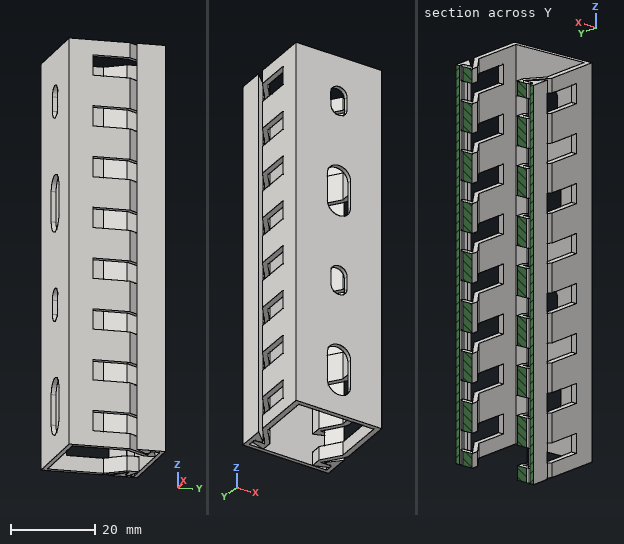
import cadquery as cq

WIDTH = 24.0
DEPTH = 23.8
LENGTH = 100.0
HALF_WIDTH = WIDTH / 2

COVER_THICKNESS = 1.1
COVER_SIDE_THICKNESS = 1.2
COVER_SKIRT = 7.1
LEDGE_DROP = 3.3
LEDGE_CHAMFER = 0.3
HOOK_BLUNT_REACH = 0.4
HOOK_BLUNT_INSET = 1.2
COVER_INSIDE = DEPTH - COVER_THICKNESS
LEDGE_LEVEL = DEPTH - LEDGE_DROP
HOOK_REACH = COVER_SKIRT - LEDGE_DROP

FLOOR_THICKNESS = 1.2
WALL_THICKNESS = 1.5
BEND_DROP = 8.8
LIP_INSET = 5.1
LIP_FACE_DROP = 4.0
BARB_TOP_DROP = 2.2
BARB_TIP_RADIUS = (LEDGE_DROP - BARB_TOP_DROP) / 2
BARB_ROOT_INSET = 4.1

WALL_SLOT_COUNT = 8
WALL_SLOT_PITCH = LENGTH / WALL_SLOT_COUNT
WALL_SLOT_WIDTH = 5.0
WALL_SLOT_BOTTOM = 5.9

MOUNT_SLOT_COUNT = 4
MOUNT_PITCH = LENGTH / MOUNT_SLOT_COUNT
LONG_SLOT_LENGTH = 14.0
LONG_SLOT_WIDTH = 6.5
SHORT_SLOT_LENGTH = 8.0
SHORT_SLOT_WIDTH = 4.5


def make_cover():
    side = -HALF_WIDTH
    inner_side = side + COVER_SIDE_THICKNESS
    tip_x = side + HOOK_REACH
    half = (
        cq.Workplane("XY")
        .moveTo(0, DEPTH)
        .lineTo(side, DEPTH)
        .lineTo(side, DEPTH - COVER_SKIRT)
        .lineTo(tip_x - HOOK_BLUNT_REACH, LEDGE_LEVEL - HOOK_BLUNT_REACH)
        .lineTo(tip_x - HOOK_BLUNT_INSET, LEDGE_LEVEL)
        .lineTo(inner_side + LEDGE_CHAMFER, LEDGE_LEVEL)
        .lineTo(inner_side, LEDGE_LEVEL + LEDGE_CHAMFER)
        .lineTo(inner_side, COVER_INSIDE)
        .lineTo(0, COVER_INSIDE)
    )
    return half.mirrorY().extrude(LENGTH)


def make_duct_channel():
    side = -HALF_WIDTH
    inner_side = side + WALL_THICKNESS
    lip_x = side + LIP_INSET
    barb_x = side + COVER_SIDE_THICKNESS
    barb_top = DEPTH - BARB_TOP_DROP
    half = (
        cq.Workplane("XY")
        .moveTo(0, FLOOR_THICKNESS)
        .lineTo(inner_side, FLOOR_THICKNESS)
        .lineTo(inner_side, DEPTH - BEND_DROP)
        .lineTo(lip_x, DEPTH - LIP_FACE_DROP)
        .lineTo(lip_x, COVER_INSIDE)
        .lineTo(barb_x + BARB_TIP_RADIUS, barb_top)
        .threePointArc(
            (barb_x, barb_top - BARB_TIP_RADIUS),
            (barb_x + BARB_TIP_RADIUS, LEDGE_LEVEL),
        )
        .lineTo(side + BARB_ROOT_INSET, LEDGE_LEVEL)
        .lineTo(side, DEPTH - BEND_DROP)
        .lineTo(side, 0)
        .lineTo(0, 0)
    )
    return half.mirrorY().extrude(LENGTH)


def make_wall_slots():
    """Cutters across both walls, open toward the cover."""
    first_center = WALL_SLOT_PITCH / 2
    centers = [(0, first_center + i * WALL_SLOT_PITCH) for i in range(WALL_SLOT_COUNT)]
    return (
        cq.Workplane("XZ", origin=(0, WALL_SLOT_BOTTOM, 0))
        .pushPoints(centers)
        .rect(WIDTH, WALL_SLOT_WIDTH)
        .extrude(-(DEPTH - WALL_SLOT_BOTTOM))
    )


def make_mounting_slots(first_center, length, width):
    """Cutters for two lengthwise slots through the floor, two mounting pitches apart."""
    centers = [(0, first_center), (0, first_center + 2 * MOUNT_PITCH)]
    return (
        cq.Workplane("XZ")
        .pushPoints(centers)
        .slot2D(length, width, 90)
        .extrude(-FLOOR_THICKNESS)
    )


def make_duct():
    long_slots = make_mounting_slots(MOUNT_PITCH / 2, LONG_SLOT_LENGTH, LONG_SLOT_WIDTH)
    short_slots = make_mounting_slots(MOUNT_PITCH * 3 / 2, SHORT_SLOT_LENGTH, SHORT_SLOT_WIDTH)
    return make_duct_channel().cut(make_wall_slots()).cut(long_slots).cut(short_slots)


cover = make_cover()
duct = make_duct()

result = cq.Compound.makeCompound([cover.val(), duct.val()])